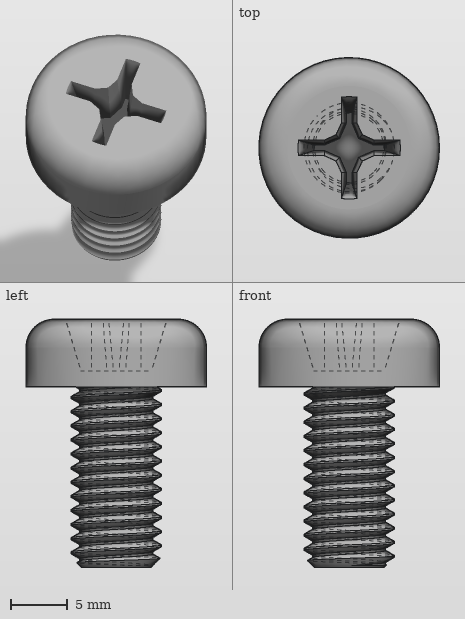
import cadquery as cq
import math

total_length = 22.0
head_diameter = 16.0
head_radius = head_diameter / 2
head_height = 6.0
head_rounding = 2.53
shank_radius = head_radius / 2
tip_chamfer = 0.95
shank_length = total_length - head_height

shank_turns = 12.8
pitch = shank_length / shank_turns
thread_depth = 0.61 * pitch
crest_width = pitch / 8
flank_slope = math.tan(math.radians(30))
root_radius = shank_radius - thread_depth
cutter_overlap = 0.07

recess_depth = 4.6
wing_start = 2.2
mouth_half_width = 0.68
mouth_corner = 1.17
mouth_radius = 4.53
floor_half_width = 0.25
floor_corner = 0.84
floor_radius = 3.12
wing_reach = mouth_radius + 0.22


def make_head():
    return (
        cq.Workplane("XY")
        .workplane(offset=shank_length)
        .circle(head_radius)
        .extrude(head_height)
        .faces(">Z")
        .edges()
        .fillet(head_rounding)
    )


def make_groove_turn():
    """One rising turn of the thread groove, starting on the -X side at height zero."""
    outer_radius = shank_radius + cutter_overlap
    root_half = (pitch - crest_width) / 2 - thread_depth * flank_slope
    outer_half = root_half + (outer_radius - root_radius) * flank_slope

    helix = cq.Wire.makeHelix(pitch, pitch, root_radius)
    groove = (
        cq.Workplane("XZ")
        .polyline([
            (root_radius, -root_half),
            (outer_radius, -outer_half),
            (outer_radius, outer_half),
            (root_radius, root_half),
        ])
        .close()
        .sweep(cq.Workplane(helix), isFrenet=True)
    )
    return groove.rotate((0, 0, 0), (0, 0, 1), 180)


def make_shank():
    """Chamfered shank, grooved turn by turn from the underside of the head to past the tip."""
    shank = (
        cq.Workplane("XY")
        .circle(shank_radius)
        .extrude(shank_length)
        .faces("<Z")
        .chamfer(tip_chamfer)
    )
    groove_turn = make_groove_turn()
    turns_below_head = math.ceil(shank_turns) + 1
    for turn in range(turns_below_head + 1):
        shank = shank.cut(groove_turn.translate((0, 0, shank_length - turn * pitch)))
    return shank


def cross_points(half_width, corner):
    """Four-winged outline with a blunt corner between neighbouring wings."""
    wing = [
        (wing_reach, -half_width),
        (wing_reach, half_width),
        (wing_start, half_width),
        (corner, corner),
        (half_width, wing_start),
    ]
    points = []
    for _ in range(4):
        points += wing
        wing = [(-y, x) for x, y in wing]
    return points


def make_recess():
    """Tapered cross trimmed by a cone, which gives the wings their sloping ends."""
    floor_plane = cq.Workplane("XY").workplane(offset=total_length - recess_depth)
    cross = (
        floor_plane
        .polyline(cross_points(floor_half_width, floor_corner))
        .close()
        .workplane(offset=recess_depth)
        .polyline(cross_points(mouth_half_width, mouth_corner))
        .close()
        .loft(ruled=True)
    )
    cone = (
        floor_plane
        .circle(floor_radius)
        .workplane(offset=recess_depth)
        .circle(mouth_radius)
        .loft()
    )
    return cross.intersect(cone)


result = make_head().cut(make_recess()).union(make_shank())